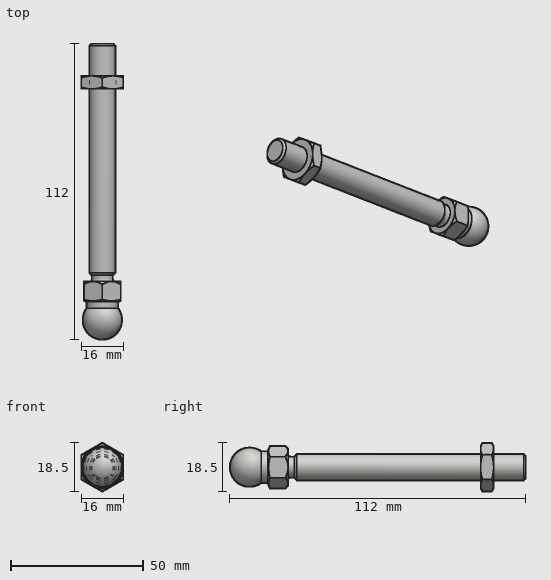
import cadquery as cq
import math

ball_radius = 7.5
total_length = 112.0
collar_radius = 6.0
shank_radius = 5.0
neck_radius = 4.0
neck_flare_length = 1.0
neck_flare_radius = 1.3
relief_end = 16.9
shank_tip_chamfer = 0.9

stud_hex_width = 14.0
stud_hex_start = 6.8
stud_hex_end = 14.6
stud_hex_cone_height = 0.9

nut_width = 16.0
nut_thickness = 4.9
nut_start = 87.3
nut_chamfer_angle = 30.0

shank_end = total_length - ball_radius


def corner_radius(width):
    """Distance from the axis to a corner of a hexagon with this width across flats."""
    return width / math.sqrt(3)


def hex_prism(width, start, end):
    """Hexagonal prism along Y with two corners pointing along Z."""
    radius = corner_radius(width)
    corners = [
        (radius * math.sin(math.radians(angle)), radius * math.cos(math.radians(angle)))
        for angle in range(0, 360, 60)
    ]
    prism = cq.Workplane("XZ").polyline(corners).close().extrude(start - end)
    return prism.translate((0, start, 0))


def revolve_profile(profile):
    """Revolve a closed (radius, y) profile around the Y axis."""
    return profile.close().revolve(360, (0, 0, 0), (0, 1, 0))


def turned_hex(width, start, end, start_radius, start_cone, end_radius, end_cone):
    """Hexagonal prism whose corners are turned to a cone at each end."""
    radius = corner_radius(width)
    envelope = revolve_profile(
        cq.Workplane("XY")
        .moveTo(0, start)
        .lineTo(start_radius, start)
        .lineTo(radius, start + start_cone)
        .lineTo(radius, end - end_cone)
        .lineTo(end_radius, end)
        .lineTo(0, end)
    )
    return hex_prism(width, start, end).intersect(envelope)


def make_ball_stud():
    """Ball, collar, hexagon, relief neck and shank in one piece."""
    ball_joint_y = math.sqrt(ball_radius**2 - collar_radius**2)
    ball_and_collar = revolve_profile(
        cq.Workplane("XY")
        .moveTo(0, -ball_radius)
        .threePointArc((ball_radius, 0), (collar_radius, ball_joint_y))
        .lineTo(collar_radius, stud_hex_start)
        .lineTo(0, stud_hex_start)
    )

    inscribed_radius = stud_hex_width / 2
    hexagon = turned_hex(
        stud_hex_width,
        stud_hex_start,
        stud_hex_end,
        collar_radius,
        stud_hex_cone_height,
        inscribed_radius,
        corner_radius(stud_hex_width) - inscribed_radius,
    )

    relief_cone = shank_radius - neck_radius

    flare_angle = math.asin(neck_flare_length / neck_flare_radius)
    flare_end_y = stud_hex_end + neck_flare_length

    def flare_point(angle):
        """Point on the flare arc, at an angle measured from its tangent end on the neck."""
        return (
            neck_radius + neck_flare_radius * (1 - math.cos(angle)),
            flare_end_y - neck_flare_radius * math.sin(angle),
        )

    neck_and_shank = revolve_profile(
        cq.Workplane("XY")
        .moveTo(0, stud_hex_end)
        .lineTo(*flare_point(flare_angle))
        .threePointArc(flare_point(flare_angle / 2), flare_point(0))
        .lineTo(neck_radius, relief_end)
        .lineTo(shank_radius, relief_end + relief_cone)
        .lineTo(shank_radius, shank_end - shank_tip_chamfer)
        .lineTo(shank_radius - shank_tip_chamfer, shank_end)
        .lineTo(0, shank_end)
    )
    return ball_and_collar.union(hexagon).union(neck_and_shank)


def make_lock_nut():
    """Hexagonal nut chamfered on both faces, bored to sit on the shank."""
    face_radius = nut_width / 2
    cone_height = (corner_radius(nut_width) - face_radius) * math.tan(math.radians(nut_chamfer_angle))
    nut_end = nut_start + nut_thickness
    nut = turned_hex(nut_width, nut_start, nut_end, face_radius, cone_height, face_radius, cone_height)
    bore = cq.Workplane("XZ").circle(shank_radius).extrude(-nut_thickness).translate((0, nut_start, 0))
    return nut.cut(bore)


ball_stud = make_ball_stud()
lock_nut = make_lock_nut()

result = cq.Compound.makeCompound([ball_stud.val(), lock_nut.val()])